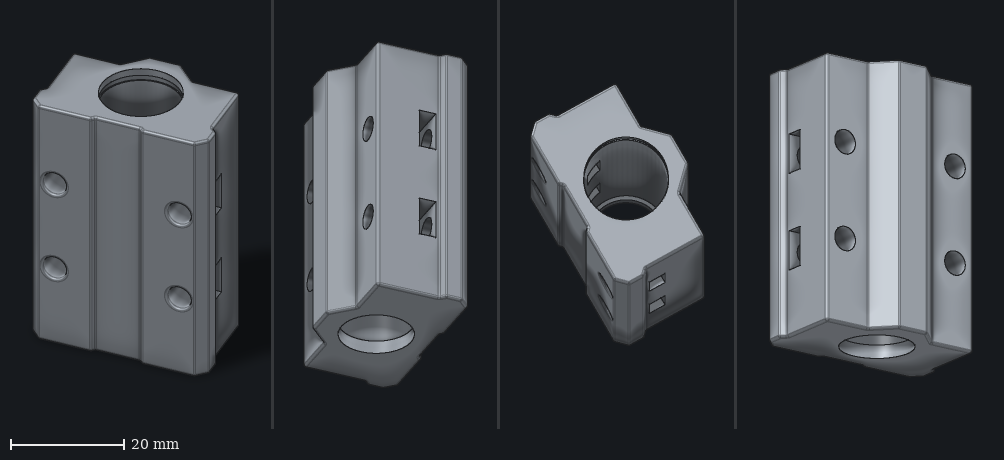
import cadquery as cq

length = 50.0
base_width = 34.0
total_depth = 22.0
edge_radius = 0.5

base_chamfer = 2.0
base_flank_end = 5.0
side_step = 1.0
shoulder_depth = 18.0
ridge_top_width = 6.0
relief_width = 9.9
relief_depth = 0.65

bore_y = 11.0
bore_radius = 7.5
lip_radius = 6.75
lip_height = 2.5
groove_radius = 7.75
groove_width = 1.1
groove_offset = 1.4

hole_radius = 2.25
hole_spacing_x = 24.0
hole_spacing_z = 18.0
hole_mouth_radius = 0.5
slot_height = 7.3
slot_front = 6.65
slot_back = 9.85


def make_body():
    """Extruded cross-section, mirror-symmetric about X = 0, with all edges rounded."""
    half_base = base_width / 2
    half_body = half_base - side_step
    half_ridge = ridge_top_width / 2
    half_ridge_foot = half_ridge + total_depth - shoulder_depth
    half_relief = relief_width / 2
    right_side = [
        (half_relief - relief_depth, relief_depth),
        (half_relief, 0),
        (half_base - base_chamfer, 0),
        (half_base, base_chamfer),
        (half_base, base_flank_end),
        (half_body, base_flank_end + side_step),
        (half_body, shoulder_depth),
        (half_ridge_foot, shoulder_depth),
        (half_ridge, total_depth),
    ]
    left_side = [(-x, y) for x, y in reversed(right_side)]
    body = cq.Workplane("XY").polyline(right_side + left_side).close().extrude(length)
    return body.edges("|Z").fillet(edge_radius).faces("<Z or >Z").edges().fillet(edge_radius)


def bore_cylinder(radius, bottom, top):
    """Cylinder on the bore axis between two heights."""
    return cq.Workplane("XY", origin=(0, bore_y, bottom)).circle(radius).extrude(top - bottom)


def cut_bore(body):
    """Bearing bore with a lower stop lip and an upper retaining ring groove."""
    groove_top = length - groove_offset
    body = body.cut(bore_cylinder(lip_radius, 0, length))
    body = body.cut(bore_cylinder(bore_radius, lip_height, length))
    return body.cut(bore_cylinder(groove_radius, groove_top - groove_width, groove_top))


def cut_hole(body, x, z):
    """Hole through the full depth, with its mouth on the front face rounded."""
    mouth_outer = hole_radius + hole_mouth_radius
    arc_offset = hole_mouth_radius * (1 - 0.5 ** 0.5)
    cutter = (
        cq.Workplane("XY")
        .moveTo(0, 0)
        .lineTo(mouth_outer, 0)
        .threePointArc((hole_radius + arc_offset, arc_offset), (hole_radius, hole_mouth_radius))
        .lineTo(hole_radius, total_depth)
        .lineTo(0, total_depth)
        .close()
        .revolve(360, (0, 0), (0, 1))
    )
    return body.cut(cutter.translate((x, 0, z)))


def cut_slot(body, z):
    """Rectangular nut slot across the full width, open on both sides and into the bore."""
    slot = cq.Workplane("XY").box(base_width, slot_back - slot_front, slot_height)
    return body.cut(slot.translate((0, (slot_front + slot_back) / 2, z)))


result = cut_bore(make_body())
for z_side in (-1, 1):
    row_z = length / 2 + z_side * hole_spacing_z / 2
    result = cut_slot(result, row_z)
    for x_side in (-1, 1):
        result = cut_hole(result, x_side * hole_spacing_x / 2, row_z)